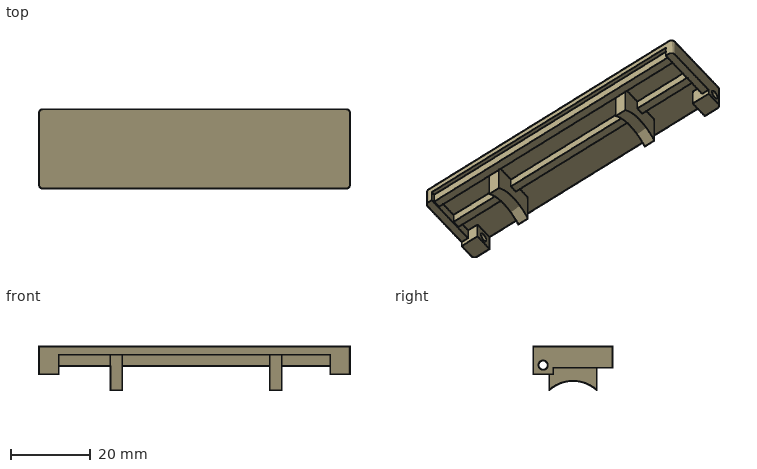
import cadquery as cq

length = 78.0
width = 20.0
plate_thickness = 2.0
corner_radius = 1.0

wall_thickness = 2.0
wall_depth = 5.4
rib_width = 2.0
rib_depth = 4.9
rib_inset = corner_radius

lug_size = 5.0
lug_depth = 7.0
hinge_diameter = 2.3
hinge_y = -7.5
hinge_depth = 4.7

saddle_width = 12.0
saddle_thickness = 3.05
saddle_depth = 11.0
saddle_arch_depth = 8.65
saddle_spacing = 39.9
saddle_offset = 0.4


def hanging_box(x_size, y_size, depth, x, y):
    """Box centred at (x, y) that reaches from the top face down to depth."""
    return cq.Workplane("XY").box(x_size, y_size, depth, centered=(True, True, False)).translate((x, y, -depth))


def rounded_footprint(depth):
    """Block with the plate's rounded outline, reaching down to depth."""
    return hanging_box(length, width, depth, 0, 0).edges("|Z").fillet(corner_radius)


def saddle(x):
    """Upright block whose underside is arched across Y."""
    half_width = saddle_width / 2
    return (
        cq.Workplane("YZ", origin=(x - saddle_thickness / 2, 0, 0))
        .moveTo(-half_width, 0)
        .lineTo(-half_width, -saddle_depth)
        .threePointArc((0, -saddle_arch_depth), (half_width, -saddle_depth))
        .lineTo(half_width, 0)
        .close()
        .extrude(saddle_thickness)
    )


result = rounded_footprint(plate_thickness)

for rib_y in (0, width / 2 - rib_inset - rib_width / 2):
    result = result.union(hanging_box(length, rib_width, rib_depth, 0, rib_y))

for side in (-1, 1):
    wall_x = side * (length - wall_thickness) / 2
    wall = hanging_box(wall_thickness, width, wall_depth, wall_x, 0)
    result = result.union(wall.intersect(rounded_footprint(wall_depth)))

    lug_x = side * (length - lug_size) / 2
    lug = hanging_box(lug_size, lug_size, lug_depth, lug_x, (lug_size - width) / 2)
    result = result.union(lug.intersect(rounded_footprint(lug_depth)))

    result = result.union(saddle(saddle_offset + side * saddle_spacing / 2))

hinge_hole = (
    cq.Workplane("YZ", origin=(-length / 2, 0, 0))
    .center(hinge_y, -hinge_depth)
    .circle(hinge_diameter / 2)
    .extrude(length)
)
result = result.cut(hinge_hole)